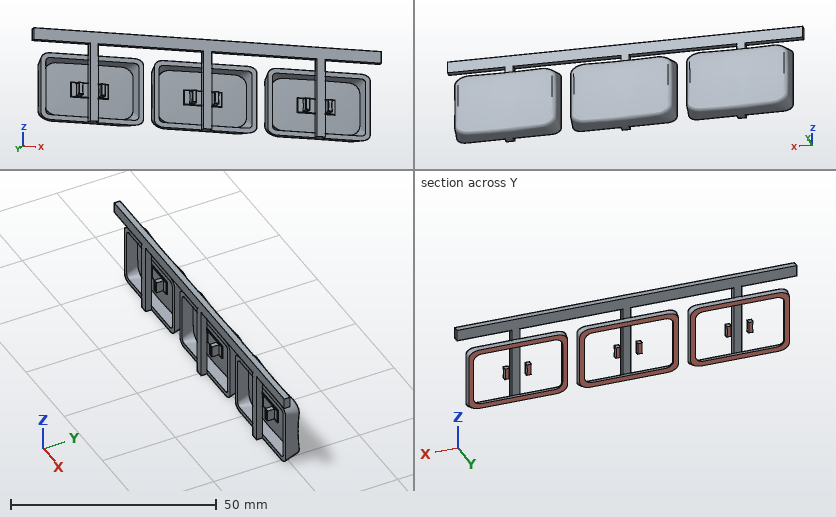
import cadquery as cq

rail_length = 88.83
rail_height = 2.9
frame_thickness = 1.6
frame_height = 22.18
runner_width = 2.1

cap_count = 3
cap_pitch = 29.0
cap_width = 26.2
cap_height = 16.6
cap_corner = (2.4, 1.6)
cap_depth = 5.0
cap_taper = 0.5
cap_top_corner = (4.4, 2.8)
cap_edge_fillet = 0.9

dish_center_depth = 3.4
dish_width_radius = 112.0
dish_height_radius = 48.0
dish_swing = 40.0

wall = 1.2
pocket_depth = 3.0
pocket_taper = 0.65
pocket_corner = (1.2, 1.0)
pocket_floor_corner = (3.1, 2.5)
roof_thickness = 1.1
floor_width_radius = 180.0
floor_height_radius = 90.0

pad_width = 9.7
pad_height = 3.7
pad_rise = 0.25
pad_chamfer = 0.15
stem_spacing = 5.7
stem_width = 1.2
stem_height = 3.0
stem_waist = 0.08
stem_chamfer = 0.15

rim_y = frame_thickness
cap_middle_z = cap_height / 2
dish_middle_y = rim_y + dish_center_depth
floor_middle_y = dish_middle_y - roof_thickness
pad_face_y = floor_middle_y - pad_rise


def box(width, height, y_start, y_end, x_middle, z_middle):
    """A block given by its X and Z size and centre and by its Y range."""
    depth = y_end - y_start
    return cq.Workplane("XY").box(width, depth, height).translate((x_middle, y_start + depth / 2, z_middle))


def rounded_outline(width, height, corner, z):
    """A flat outline at height z with elliptical corners, drawn lying down with Y standing for Z."""
    corner_x, corner_z = corner
    half_x = width / 2
    half_z = height / 2
    return (
        cq.Workplane("XY", origin=(0, 0, z))
        .moveTo(half_x, corner_z - half_z)
        .lineTo(half_x, half_z - corner_z)
        .ellipseArc(corner_x, corner_z, 0, 90)
        .lineTo(corner_x - half_x, half_z)
        .ellipseArc(corner_x, corner_z, 90, 180)
        .lineTo(-half_x, corner_z - half_z)
        .ellipseArc(corner_x, corner_z, 180, 270)
        .lineTo(half_x - corner_x, -half_z)
        .ellipseArc(corner_x, corner_z, 270, 360)
        .close()
        .val()
    )


def tapered_block(width, height, corner, depth, inset, far_corner):
    """A block from the rim towards +Y, narrowing by the inset on every side."""
    near = rounded_outline(width, height, corner, 0)
    far = rounded_outline(width - 2 * inset, height - 2 * inset, far_corner, depth)
    block = cq.Workplane(cq.Solid.makeLoft([near, far], True))
    return block.rotate((0, 0, 0), (1, 0, 0), -90).translate((0, rim_y, cap_middle_z))


def below_dish(middle_y, width_radius, height_radius):
    """The space on the -Y side of a dished surface whose lowest point is at middle_y."""
    reach = cap_height
    sag = height_radius - (height_radius**2 - reach**2) ** 0.5
    axis_y = middle_y + width_radius
    far_y = middle_y - cap_height
    section = (
        cq.Workplane("YZ")
        .moveTo(far_y, cap_middle_z - reach)
        .lineTo(middle_y + sag, cap_middle_z - reach)
        .threePointArc((middle_y, cap_middle_z), (middle_y + sag, cap_middle_z + reach))
        .lineTo(far_y, cap_middle_z + reach)
        .close()
    )
    solid = section.revolve(dish_swing, (axis_y, 0, 0), (axis_y, 1, 0))
    return solid.rotate((0, axis_y, 0), (0, axis_y, 1), -dish_swing / 2)


def make_shell():
    blank = tapered_block(cap_width, cap_height, cap_corner, cap_depth, cap_taper, cap_top_corner)
    shell = blank.intersect(below_dish(dish_middle_y, dish_width_radius, dish_height_radius))
    shell = shell.faces(">Y").edges().fillet(cap_edge_fillet)
    pocket = tapered_block(
        cap_width - 2 * wall,
        cap_height - 2 * wall,
        pocket_corner,
        pocket_depth,
        pocket_taper,
        pocket_floor_corner,
    )
    pocket = pocket.intersect(below_dish(floor_middle_y, floor_width_radius, floor_height_radius))
    return shell.cut(pocket)


def make_stem():
    """A stem with bowed-in long sides, reaching from the pad to the plane of the rim."""
    half_width = stem_width / 2
    half_height = stem_height / 2
    waist = half_width - stem_waist
    stem = (
        cq.Workplane("XZ", origin=(0, pad_face_y, cap_middle_z))
        .moveTo(-half_width, -half_height)
        .lineTo(half_width, -half_height)
        .threePointArc((waist, 0), (half_width, half_height))
        .lineTo(-half_width, half_height)
        .threePointArc((-waist, 0), (-half_width, -half_height))
        .close()
        .extrude(pad_face_y - rim_y)
    )
    return stem.faces("<Y").edges().chamfer(stem_chamfer)


def make_switch_mount():
    pad_back_y = floor_middle_y + roof_thickness / 2
    mount = box(pad_width, pad_height, pad_face_y, pad_back_y, 0, cap_middle_z)
    mount = mount.faces("<Y").edges().chamfer(pad_chamfer)
    for side in (-1, 1):
        mount = mount.union(make_stem().translate((side * stem_spacing / 2, 0, 0)))
    return mount


def make_frame_and_caps():
    part = box(rail_length, rail_height, 0, frame_thickness, 0, frame_height - rail_height / 2)
    cap = make_shell().union(make_switch_mount())
    runner = box(runner_width, frame_height, 0, frame_thickness, 0, frame_height / 2)
    for index in range(cap_count):
        x = (index - (cap_count - 1) / 2) * cap_pitch
        part = part.union(runner.translate((x, 0, 0))).union(cap.translate((x, 0, 0)))
    return part


result = make_frame_and_caps()